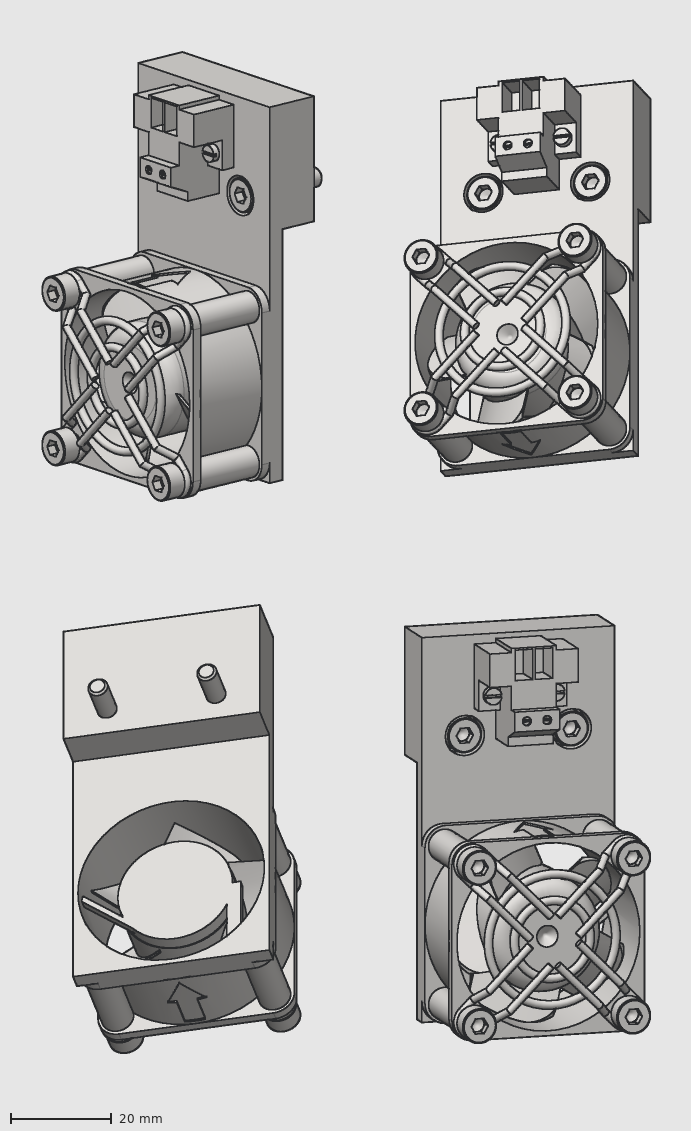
import cadquery as cq
import math


plate_width = 40.0
plate_height = 77.8
head_block_thickness = 11.6
head_block_bottom = 51.9
tail_thickness = 3.4

screw_diameter = 4.0
head_radius = 3.5
head_height = 4.0
head_chamfer = 0.2
socket_width = 3.5
socket_depth = 2.0
drill_tip_depth = 0.8
plate_screw_spacing = 22.2
plate_screw_z = 57.5
plate_screw_end = 20.0
plate_screw_tip_chamfer = 0.5
counterbore_radius = 4.05

fan_size = plate_width
fan_depth = 20.0
fan_z = fan_size / 2
fan_screw_spacing = 32.0
fan_head_base = 21.7
flange_thickness = 2.0
flange_corner_radius = 4.3
post_radius = 3.3
bore_radius = 19.0
barrel_radius = fan_size / 2
motor_base_radius = 11.7
motor_base_height = 3.1
strut_height = 1.95
strut_width = 1.2
strut_angle = 38
strut_offset = 10.9
cable_strut_angle = -90
cable_strut_width = 2.8
cable_strut_offset = 11.9
join = 0.5

arrow_depth = 0.4
arrow_start = 17.1
arrow_shaft_length = 6.9
arrow_shaft_width = 4.2
arrow_head_length = 6.6
arrow_head_width = 7.9

wire_radius = 0.8
ring_wire_radius = 0.85
guard_ring_radii = (7.85, 13.2)
guard_ring_y = -22.6
guard_arm_y = -24.05
guard_loop_y = -20.7
guard_loop_radius = 3.0
arm_count = 4
first_arm_angle = 45
arm_inner_end = 4.05
arm_bend_start = 16.25
arm_bend_end = 19.45

hub_radius = 11.8
hub_front = 19.3
hub_edge_radius = 3.9
hub_center_radius = 2.2
hub_center_depth = 2.2
blade_count = 5
blade_first_angle = 41
blade_tip_radius = 18.5
blade_root_radius = 9.3
blade_thickness = 0.8
blade_rear_y = -3.9
blade_front_y = -17.1
blade_mid_y = -12.05
blade_rear_reach = -8.0
blade_front_reach = 5.8
blade_corner_radius = 3.9

connector_wing_width = 18.3
connector_top = 75.85
connector_step_z = 69.1
connector_wing_bottom = 62.9
connector_depth = 10.4
connector_foot_depth = 3.0
plug_width = 9.3
plug_top = 76.7
plug_nose_top = 64.3
plug_nose_bottom = 60.2
plug_slope_end = 58.35
plug_bottom = 56.5
plug_nose_depth = 12.6
plug_base_depth = 8.2
pocket_width = 3.6
pocket_wall = 0.55
pocket_top = 76.3
pocket_bottom = 70.2
pocket_depth = 6.2
clamp_screw_x = 6.5
clamp_screw_z = 66.0
clamp_screw_radius = 1.7
clamp_screw_height = 1.5
clamp_slot_width = 0.55
clamp_slot_depth = 0.7
terminal_x = 2.1
terminal_z = 62.25
terminal_radius = 0.85
terminal_recess = 0.5
terminal_slot_width = 0.4
terminal_slot_depth = 0.4

fan_corners = [
    (sx * fan_screw_spacing / 2, fan_z + sz * fan_screw_spacing / 2) for sx in (-1, 1) for sz in (-1, 1)
]


def front_plane(y):
    """Workplane facing -Y at the given Y, with local axes X and Z."""
    return cq.Workplane("XZ", origin=(0, y, 0))


def cylinder(x, z, radius, y_back, y_front):
    return front_plane(y_back).center(x, z).circle(radius).extrude(y_back - y_front)


def box(x_min, x_max, y_front, y_back, z_min, z_max):
    size = (x_max - x_min, y_back - y_front, z_max - z_min)
    return cq.Workplane("XY").box(*size, centered=False).translate((x_min, y_front, z_min))


def turn_about_fan(shape, angle):
    """Rotate about the fan axis, counterclockwise as seen from the front."""
    return shape.rotate((0, 0, fan_z), (0, -1, fan_z), angle)


def screw_head(x, z, y_base):
    y_top = y_base - head_height
    head = cylinder(x, z, head_radius, y_base, y_top).faces("<Y").chamfer(head_chamfer)
    socket = front_plane(y_top).center(x, z).polygon(6, socket_width).extrude(-socket_depth)
    tip = cq.Solid.makeCone(
        socket_width * math.cos(math.pi / 6) / 2,
        0,
        drill_tip_depth,
        pnt=cq.Vector(x, y_top + socket_depth, z),
        dir=cq.Vector(0, 1, 0),
    )
    return head.cut(socket).cut(cq.Workplane(tip))


def make_plate():
    plate = box(-plate_width / 2, plate_width / 2, 0, tail_thickness, 0, plate_height)
    head_block = box(
        -plate_width / 2, plate_width / 2, 0, head_block_thickness, head_block_bottom, plate_height
    )
    plate = plate.union(head_block).cut(cylinder(0, fan_z, bore_radius, tail_thickness, 0))
    for side in (-1, 1):
        x = side * plate_screw_spacing / 2
        shank = cylinder(x, plate_screw_z, screw_diameter / 2, plate_screw_end, head_height)
        shank = shank.faces(">Y").chamfer(plate_screw_tip_chamfer)
        plate = plate.cut(cylinder(x, plate_screw_z, counterbore_radius, head_height, 0))
        plate = plate.union(shank).union(screw_head(x, plate_screw_z, head_height))
    return plate


def flange(y_back):
    slab = front_plane(y_back).center(0, fan_z).rect(fan_size, fan_size).extrude(flange_thickness)
    return slab.edges("|Y").fillet(flange_corner_radius)


def flow_arrows():
    shaft_end = arrow_shaft_length - arrow_start
    outline = [
        (arrow_shaft_width / 2, -arrow_start),
        (arrow_shaft_width / 2, shaft_end),
        (arrow_head_width / 2, shaft_end),
        (0, shaft_end + arrow_head_length),
        (-arrow_head_width / 2, shaft_end),
        (-arrow_shaft_width / 2, shaft_end),
        (-arrow_shaft_width / 2, -arrow_start),
    ]
    arrow = cq.Workplane("XY", origin=(0, 0, fan_z)).polyline(outline).close().extrude(fan_size, both=True)
    return arrow.cut(cylinder(0, fan_z, barrel_radius - arrow_depth, 0, -fan_depth))


def strut(angle, offset, width):
    """Bar running tangentially from beside the motor base out to the barrel wall."""
    reach = math.sqrt((bore_radius + join) ** 2 - (offset + width / 2) ** 2)
    bar = box(0, reach, -strut_height, 0, fan_z - offset - width / 2, fan_z - offset + width / 2)
    return turn_about_fan(bar, angle)


def make_fan_housing():
    housing = cylinder(0, fan_z, barrel_radius, 0, -fan_depth)
    housing = housing.cut(flow_arrows())
    housing = housing.union(flange(0)).union(flange(flange_thickness - fan_depth))
    for x, z in fan_corners:
        housing = housing.union(cylinder(x, z, post_radius, 0, -fan_depth))
    housing = housing.cut(cylinder(0, fan_z, bore_radius, 0, -fan_depth))
    housing = housing.union(cylinder(0, fan_z, motor_base_radius, 0, -motor_base_height))
    housing = housing.union(strut(strut_angle, strut_offset, strut_width))
    return housing.union(strut(cable_strut_angle, cable_strut_offset, cable_strut_width))


def guard_arm():
    """Hairpin of wire around a corner screw, laid along +X from the fan axis."""
    loop_center = fan_screw_spacing / math.sqrt(2)
    side = guard_loop_radius
    path = (
        cq.Workplane("XY")
        .polyline([
            (arm_inner_end, guard_arm_y, fan_z - side),
            (arm_bend_start, guard_arm_y, fan_z - side),
            (arm_bend_end, guard_loop_y, fan_z - side),
            (loop_center, guard_loop_y, fan_z - side),
        ])
        .threePointArc(
            (loop_center + side, guard_loop_y, fan_z),
            (loop_center, guard_loop_y, fan_z + side),
        )
        .polyline([
            (arm_bend_end, guard_loop_y, fan_z + side),
            (arm_bend_start, guard_arm_y, fan_z + side),
            (arm_inner_end, guard_arm_y, fan_z + side),
        ], includeCurrent=True)
    )
    start = cq.Workplane("YZ", origin=(arm_inner_end, guard_arm_y, fan_z - side))
    return start.circle(wire_radius).sweep(path, transition="right")


def guard_ring(radius):
    section = cq.Workplane("XY", origin=(radius, guard_ring_y, fan_z)).circle(ring_wire_radius)
    return section.revolve(360, (-radius, 0, 0), (-radius, 1, 0))


def make_guard():
    rings = [guard_ring(radius).val() for radius in guard_ring_radii]
    arms = [
        turn_about_fan(guard_arm(), first_arm_angle + 360 / arm_count * corner).val()
        for corner in range(arm_count)
    ]
    return cq.Workplane(rings[0].fuse(*rings[1:], *arms))


def make_connector():
    half_wing = connector_wing_width / 2
    half_plug = plug_width / 2
    connector = box(-half_wing, half_wing, -connector_depth, 0, connector_step_z, connector_top)
    foot = box(-half_wing, half_wing, -connector_foot_depth, 0, connector_wing_bottom, connector_step_z)
    plug_profile = [
        (0, plug_top),
        (-connector_depth, plug_top),
        (-connector_depth, plug_nose_top),
        (-plug_nose_depth, plug_nose_top),
        (-plug_nose_depth, plug_nose_bottom),
        (-plug_base_depth, plug_slope_end),
        (-plug_base_depth, plug_bottom),
        (0, plug_bottom),
    ]
    plug = cq.Workplane("YZ").polyline(plug_profile).close().extrude(half_plug, both=True)
    connector = connector.union(foot).union(plug)
    for side in (-1, 1):
        connector = connector.union(clamp_screw(side * clamp_screw_x))
        connector = connector.cut(wire_pocket(side)).cut(terminal_hole(side * terminal_x))
    return connector


def clamp_screw(x):
    top = -connector_foot_depth - clamp_screw_height
    head = cylinder(x, clamp_screw_z, clamp_screw_radius, 0, top)
    slot = front_plane(top).center(x, clamp_screw_z).rect(2 * clamp_screw_radius, clamp_slot_width)
    return head.cut(slot.extrude(-clamp_slot_depth))


def wire_pocket(side):
    center = side * (pocket_wall + pocket_width) / 2
    return box(
        center - pocket_width / 2,
        center + pocket_width / 2,
        -connector_depth,
        pocket_depth - connector_depth,
        pocket_bottom,
        pocket_top,
    )


def terminal_hole(x):
    """Round recess with the slotted face of a terminal screw at its bottom."""
    recess_floor = terminal_recess - plug_nose_depth
    recess = cylinder(x, terminal_z, terminal_radius, recess_floor, -plug_nose_depth)
    slot = front_plane(recess_floor).center(x, terminal_z).rect(2 * terminal_radius, terminal_slot_width)
    return recess.union(slot.extrude(-terminal_slot_depth))


def make_unit():
    """Plate, connector, fan housing, screws and guard as one fused body."""
    unit = make_plate().union(make_connector()).union(make_fan_housing())
    for x, z in fan_corners:
        unit = unit.union(cylinder(x, z, screw_diameter / 2, 0, -fan_head_base - join))
        unit = unit.union(screw_head(x, z, -fan_head_base))
    return unit.union(make_guard(), clean=False)


def blade():
    """Tilted, cambered blade pointing along +X, before its tip is trimmed."""
    mid_reach = (blade_rear_reach + blade_front_reach) / 2
    profile = (
        cq.Workplane("YZ", origin=(blade_root_radius, 0, fan_z))
        .moveTo(blade_rear_y, blade_rear_reach)
        .threePointArc((blade_mid_y, mid_reach), (blade_front_y, blade_front_reach))
        .lineTo(blade_front_y + blade_thickness, blade_front_reach)
        .threePointArc(
            (blade_mid_y + blade_thickness, mid_reach), (blade_rear_y + blade_thickness, blade_rear_reach)
        )
        .close()
    )
    return profile.extrude(blade_tip_radius - blade_root_radius)


def make_impeller():
    hub = cylinder(0, fan_z, hub_radius, -motor_base_height, -hub_front)
    hub = hub.faces("<Y").edges().fillet(hub_edge_radius)
    center_cone = cq.Solid.makeCone(
        hub_center_radius, 0, hub_center_depth, pnt=cq.Vector(0, -hub_front, fan_z), dir=cq.Vector(0, 1, 0)
    )
    swept_disc = cylinder(0, fan_z, blade_tip_radius, -motor_base_height, blade_front_y)
    swept_disc = swept_disc.faces("<Y").edges().fillet(blade_corner_radius)
    impeller = hub.cut(cq.Workplane(center_cone))
    for index in range(blade_count):
        angle = blade_first_angle + 360 / blade_count * index
        impeller = impeller.union(turn_about_fan(blade(), angle).intersect(swept_disc))
    return impeller


unit = make_unit()
impeller = make_impeller()
result = cq.Compound.makeCompound([unit.solids().val(), impeller.solids().val()])